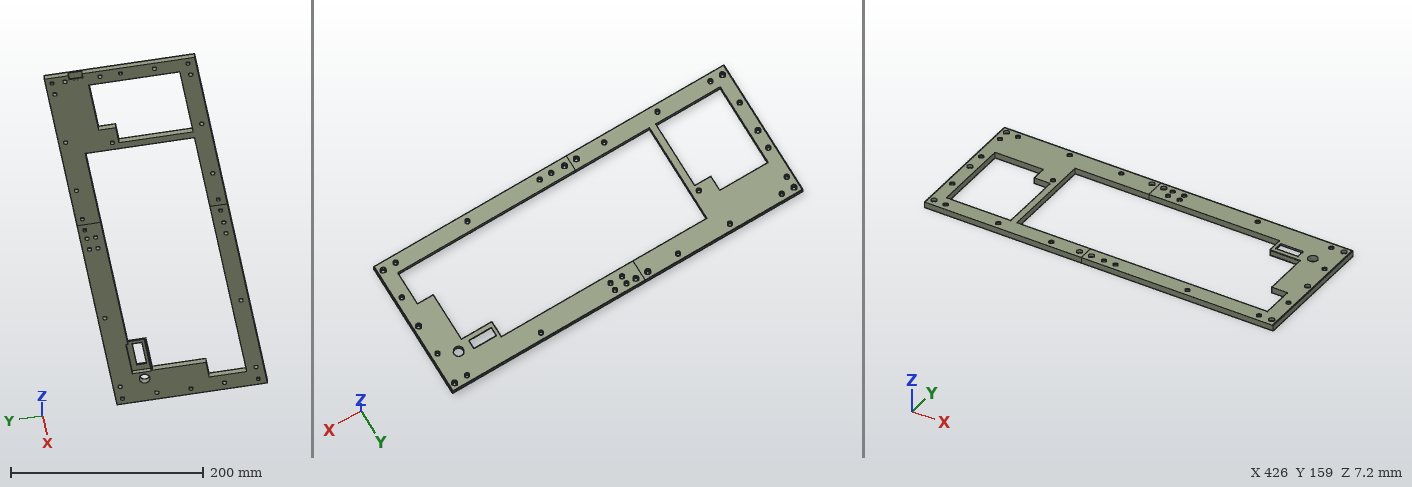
import cadquery as cq
LENGTH = 426.0
WIDTH = 159.0
THICKNESS = 7.2
SEAM_X = -21.5

FRONT_BEVEL_RUN = 4.0
FRONT_BEVEL_DROP = 0.13
RIM_BEVEL_RUN = 1.0
RIM_BEVEL_DROP = 0.5

WINDOW_FRONT_Y = -61.0
STEP_Y = 35.5

LEFT_WINDOW_X = (-197.2, -119.0)
LEFT_NOTCH_X = -138.5
LEFT_NOTCH_Y = 17.5

RIGHT_WINDOW_X = (-111.0, 194.5)
RIGHT_WINDOW_BACK_Y = 54.5
FIRST_STEP_X = 138.5
SECOND_STEP_X = 175.5
SECOND_STEP_Y = -21.5

SLOT_X = (142.3, 169.5)
SLOT_Y = (40.5, 50.5)
KNOB_HOLE_DIAMETER = 11.0
KNOB_HOLE_CENTRE = (185.0, 45.0)

DISPLAY_RECESS_X = (FIRST_STEP_X, 176.5)
DISPLAY_RECESS_Y = (36.5, 56.5)
DISPLAY_RECESS_HEIGHT = 5.0

NOTCH_Y = (39.5, 54.0)
NOTCH_HEIGHT = 4.5
NOTCH_DEPTH = 7.5
NOTCH_LEDGE_HEIGHT = 1.3
NOTCH_LEDGE_DEPTH = 2.5

SCREW_HOLE_DIAMETER = 4.3
SCREW_MOUTH_DIAMETER = 5.5
SCREW_MOUTH_DEPTH = 1.3
BACK_ROW_Y = 72.0
BACK_ROW_X = (-191.5, -128.5, -65.5, -3.0, 11.0, 101.0, 191.0)
SECOND_ROW_Y = 63.0
SECOND_ROW_X = (-3.0, 11.0)
FRONT_ROW_Y = -71.5
FRONT_ROW_X = (-191.5, -127.5, -62.5, 1.5, 15.8, 103.5, 191.0)
LEFT_COLUMN_X = -205.8
LEFT_COLUMN_Y = (59.0, 21.7, -35.8)
RIGHT_COLUMN_X = 205.0
RIGHT_COLUMN_Y = (35.8, -35.8)
DIVIDER_HOLE = (-119.5, 24.3)

BORE_DIAMETER = 4.0
COUNTERBORE_DIAMETER = 6.5
COUNTERBORE_DEPTH = 3.5
ASSEMBLY_BACK_Y = 72.5
ASSEMBLY_MIDDLE_Y = 0.0
ASSEMBLY_FRONT_Y = -71.0
ASSEMBLY_END_X = 206.0
ASSEMBLY_SEAM_OFFSET = 7.2


def box(x_range, y_range, z_range):
    """Axis-aligned box between the given limits."""
    return (
        cq.Workplane("XY")
        .box(x_range[1] - x_range[0], y_range[1] - y_range[0], z_range[1] - z_range[0], centered=False)
        .translate((x_range[0], y_range[0], z_range[0]))
    )


def cylinders(points, diameter, z_bottom):
    """Cutting cylinders that reach from z_bottom to the top face."""
    return (
        cq.Workplane("XY", origin=(0, 0, z_bottom))
        .pushPoints(points)
        .circle(diameter / 2)
        .extrude(THICKNESS - z_bottom)
    )


def bevelled_plate():
    """Full plate with its four top edges bevelled."""
    plate = cq.Workplane("XY").box(LENGTH, WIDTH, THICKNESS, centered=(True, True, False))
    plate = plate.faces(">Z").edges("<Y").chamfer(FRONT_BEVEL_DROP, FRONT_BEVEL_RUN)
    for edge in ("<X", ">X", ">Y"):
        plate = plate.faces(">Z").edges(edge).chamfer(RIM_BEVEL_DROP, RIM_BEVEL_RUN)
    return plate


def left_window():
    """Keypad window with its back right corner left solid."""
    outline = [
        (LEFT_WINDOW_X[0], WINDOW_FRONT_Y),
        (LEFT_WINDOW_X[1], WINDOW_FRONT_Y),
        (LEFT_WINDOW_X[1], LEFT_NOTCH_Y),
        (LEFT_NOTCH_X, LEFT_NOTCH_Y),
        (LEFT_NOTCH_X, STEP_Y),
        (LEFT_WINDOW_X[0], STEP_Y),
    ]
    return cq.Workplane("XY").polyline(outline).close().extrude(THICKNESS)


def right_window():
    """Main window, stepped twice around the display and knob corner."""
    outline = [
        (RIGHT_WINDOW_X[0], WINDOW_FRONT_Y),
        (RIGHT_WINDOW_X[1], WINDOW_FRONT_Y),
        (RIGHT_WINDOW_X[1], SECOND_STEP_Y),
        (SECOND_STEP_X, SECOND_STEP_Y),
        (SECOND_STEP_X, STEP_Y),
        (FIRST_STEP_X, STEP_Y),
        (FIRST_STEP_X, RIGHT_WINDOW_BACK_Y),
        (RIGHT_WINDOW_X[0], RIGHT_WINDOW_BACK_Y),
    ]
    return cq.Workplane("XY").polyline(outline).close().extrude(THICKNESS)


def cable_notch():
    """Notch open at the bottom of the edge, with a low ledge left along its inner end."""
    edge_x = -LENGTH / 2
    back_x = edge_x + NOTCH_DEPTH
    notch = box((edge_x, back_x), NOTCH_Y, (0, NOTCH_HEIGHT))
    return notch.cut(box((back_x - NOTCH_LEDGE_DEPTH, back_x), NOTCH_Y, (0, NOTCH_LEDGE_HEIGHT)))


def screw_points():
    """Centres of the plain screw holes around the frame."""
    points = [(x, BACK_ROW_Y) for x in BACK_ROW_X]
    points += [(x, SECOND_ROW_Y) for x in SECOND_ROW_X]
    points += [(x, FRONT_ROW_Y) for x in FRONT_ROW_X]
    points += [(LEFT_COLUMN_X, y) for y in LEFT_COLUMN_Y]
    points += [(RIGHT_COLUMN_X, y) for y in RIGHT_COLUMN_Y]
    points.append(DIVIDER_HOLE)
    return points


def assembly_points():
    """Centres of the counterbored holes at the ends and on both sides of the seam."""
    points = []
    for y in (ASSEMBLY_BACK_Y, ASSEMBLY_MIDDLE_Y, ASSEMBLY_FRONT_Y):
        points += [(-ASSEMBLY_END_X, y), (ASSEMBLY_END_X, y)]
    for y in (ASSEMBLY_BACK_Y, ASSEMBLY_FRONT_Y):
        points += [(SEAM_X - ASSEMBLY_SEAM_OFFSET, y), (SEAM_X + ASSEMBLY_SEAM_OFFSET, y)]
    return points


def whole_frame():
    """Complete frame before it is divided at the seam."""
    body = bevelled_plate().cut(left_window()).cut(right_window()).cut(cable_notch())
    body = body.cut(box(SLOT_X, SLOT_Y, (0, THICKNESS)))
    body = body.cut(box(DISPLAY_RECESS_X, DISPLAY_RECESS_Y, (0, DISPLAY_RECESS_HEIGHT)))
    body = body.cut(cylinders([KNOB_HOLE_CENTRE], KNOB_HOLE_DIAMETER, 0))
    body = body.cut(cylinders(screw_points(), SCREW_HOLE_DIAMETER, 0))
    body = body.cut(cylinders(screw_points(), SCREW_MOUTH_DIAMETER, THICKNESS - SCREW_MOUTH_DEPTH))
    body = body.cut(cylinders(assembly_points(), BORE_DIAMETER, 0))
    return body.cut(
        cylinders(assembly_points(), COUNTERBORE_DIAMETER, THICKNESS - COUNTERBORE_DEPTH)
    )


def frame_half(frame, x_start, x_end):
    """Part of the frame between two X positions."""
    return frame.intersect(box((x_start, x_end), (-WIDTH / 2, WIDTH / 2), (0, THICKNESS)))


frame = whole_frame()
left_frame = frame_half(frame, -LENGTH / 2, SEAM_X)
right_frame = frame_half(frame, SEAM_X, LENGTH / 2)

result = cq.Compound.makeCompound([left_frame.val(), right_frame.val()])